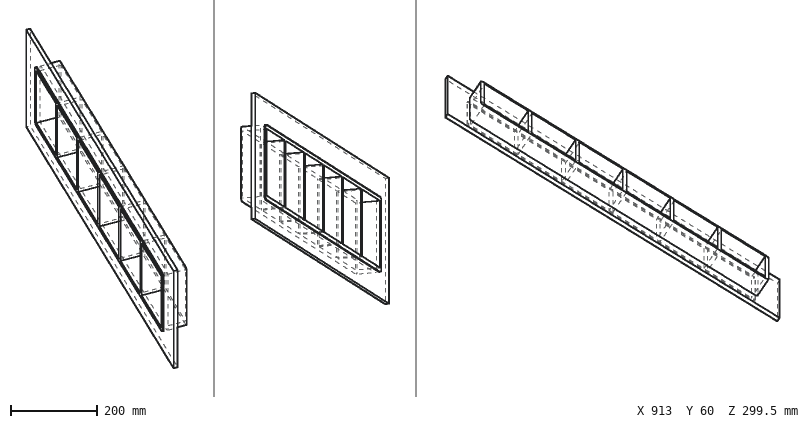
import cadquery as cq

plate_length = 913.0
plate_height = 299.5
plate_thickness = 10.0

flange_width = 60.0
frame_length = plate_length - 2 * flange_width
frame_height = plate_height - 2 * flange_width
frame_depth = 60.0
frame_corner_radius = 10.0
front_lip = 3.0

wall = 10.0
opening_count = 6
opening_pitch = (frame_length - wall) / opening_count
opening_length = opening_pitch - wall
opening_height = frame_height - 2 * wall

plate_center_y = front_lip + plate_thickness / 2
frame_center_y = frame_depth / 2


def make_plate():
    plate = cq.Workplane("XY").box(plate_length, plate_thickness, plate_height)
    return plate.translate((0, plate_center_y, 0))


def make_frame():
    frame = cq.Workplane("XY").box(frame_length, frame_depth, frame_height)
    frame = frame.edges("|Y").fillet(frame_corner_radius)
    return frame.translate((0, frame_center_y, 0))


def make_openings():
    return (
        cq.Workplane("XZ", origin=(0, frame_center_y, 0))
        .rarray(opening_pitch, 9, opening_count, 1)
        .rect(opening_length, opening_height)
        .extrude(frame_depth, both=True)
    )


result = make_plate().union(make_frame()).cut(make_openings())